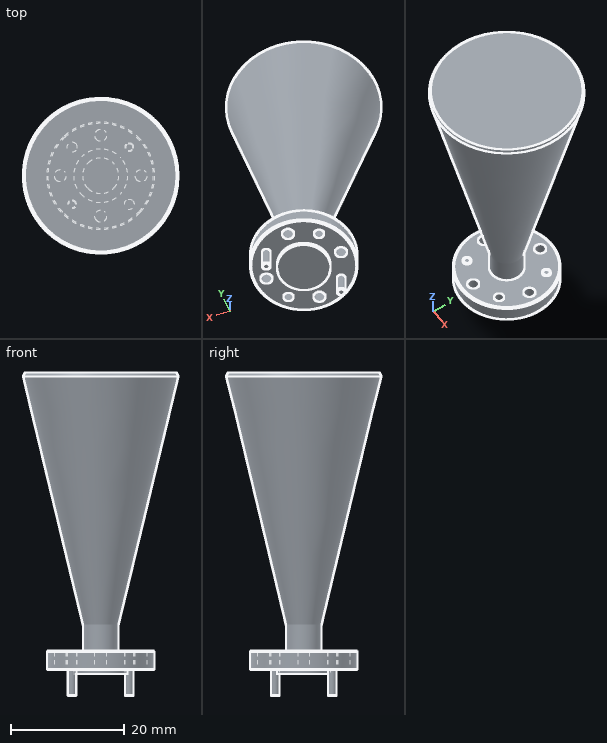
import cadquery as cq
import math

boss_bottom = 3.9
flange_bottom = 4.6
flange_top = 8.0
neck_top = 12.6
rim_height = 56.5
horn_top = 57.2

horn_radius = 27.5 / 2
rim_inset = 0.35
neck_radius = 6.35 / 2

flange_radius = 19.05 / 2
flange_chamfer = 0.25
boss_radius = 9.5 / 2

bolt_circle_radius = 14.3 / 2
screw_hole_diameter = 2.1
pin_hole_diameter = 1.8
pin_diameter = 1.55
pin_chamfer = 0.2
pin_angles = (45, 225)
open_pin_hole_angles = (135, 315)
screw_hole_angles = (0, 90, 180, 270)


def circle_point(angle):
    """Position on the bolt circle at an angle in degrees from +X."""
    turn = math.radians(angle)
    return (bolt_circle_radius * math.cos(turn), bolt_circle_radius * math.sin(turn))


def drill_flange(body, diameter, angles):
    """Cut through holes in the flange at the given angles."""
    drills = (
        cq.Workplane("XY", origin=(0, 0, flange_bottom))
        .pushPoints([circle_point(angle) for angle in angles])
        .circle(diameter / 2)
        .extrude(flange_top - flange_bottom)
    )
    return body.cut(drills)


def make_horn():
    """Turned body: locating boss, chamfered flange, neck and flared cone."""
    profile = [
        (0, boss_bottom),
        (boss_radius, boss_bottom),
        (boss_radius, flange_bottom),
        (flange_radius - flange_chamfer, flange_bottom),
        (flange_radius, flange_bottom + flange_chamfer),
        (flange_radius, flange_top - flange_chamfer),
        (flange_radius - flange_chamfer, flange_top),
        (neck_radius, flange_top),
        (neck_radius, neck_top),
        (horn_radius, rim_height),
        (horn_radius - rim_inset, horn_top),
        (0, horn_top),
    ]
    body = cq.Workplane("XZ").polyline(profile).close().revolve(360, (0, 0, 0), (0, 1, 0))
    body = drill_flange(body, screw_hole_diameter, screw_hole_angles)
    body = drill_flange(body, pin_hole_diameter, open_pin_hole_angles)
    return drill_flange(body, pin_diameter, pin_angles)


def make_pin(angle):
    """Dowel pin with both ends chamfered, its upper end flush with the flange top."""
    return (
        cq.Workplane("XY")
        .center(*circle_point(angle))
        .circle(pin_diameter / 2)
        .extrude(flange_top)
        .faces("<Z or >Z")
        .chamfer(pin_chamfer)
    )


horn = make_horn()
pins = [make_pin(angle).val() for angle in pin_angles]

result = cq.Compound.makeCompound([horn.val(), *pins])